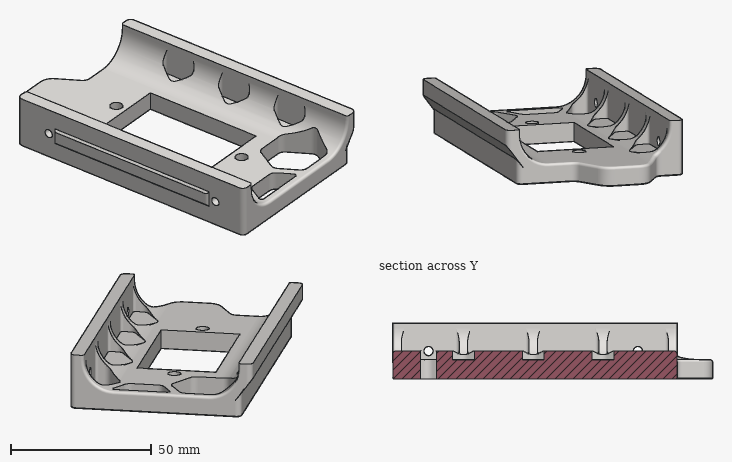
import cadquery as cq
import math

body_length = 101.3
body_height = 20.0
corner_radius = 2.0
bottom_chamfer = 0.3

cavity_width = 56.0
cavity_half_width = cavity_width / 2
wall_thickness = 5.0
wall_outer_y = cavity_half_width + wall_thickness
cove_radius = 11.0
floor_z = 7.0
rim_radius = 1.0

foot_y = 29.0
lean_top_z = 14.4
lean_drop = 8.2
lean_run = 6.2

overall_length = 114.0
tab_length = overall_length - body_length
tab_center_y = -7.9
tab_tip_half_width = 8.0
tab_flank_angle = 30
tab_tip_radius = 6.0
tab_root_radius = 3.02

window_length = 47.3
window_width = 28.5
window_center_x = 47.2
screw_diameter = 4.7
screw_spacing = 56.1

hex_flats = 21.9
hex_gap = 3.0
hex_pitch = hex_flats + hex_gap
hex_row_step = hex_pitch * math.sqrt(3) / 2
hex_first_x = 14.0
hex_first_y = -29.4
hex_radius = 3.0
hex_right_border = 3.1
clipped_corner_radius = 1.0
hex_columns = 3

strip_length = 69.0
strip_width = 6.2
strip_height = 0.8
strip_bevel = 0.8
strip_end_inset = 1.1
pin_diameter = 3.2
pin_spacing = hex_columns * hex_pitch
side_center_x = hex_first_x + pin_spacing / 2
side_center_z = body_height / 2


def round_edges(solid, points, radius):
    """Fillet the upright edge nearest to each (x, y) point."""
    for x, y in points:
        nearest = cq.selectors.NearestToPointSelector((x, y, body_height / 2))
        solid = solid.edges("|Z").edges(nearest).fillet(radius)
    return solid


def base_block():
    """Full-height block on the plan outline, tab included."""
    tab_root_half_width = tab_tip_half_width + tab_length * math.tan(math.radians(tab_flank_angle))
    tip_low = (-tab_length, tab_center_y - tab_tip_half_width)
    tip_high = (-tab_length, tab_center_y + tab_tip_half_width)
    root_low = (0, tab_center_y - tab_root_half_width)
    root_high = (0, tab_center_y + tab_root_half_width)
    block = (
        cq.Workplane("XY")
        .moveTo(0, -wall_outer_y)
        .lineTo(*root_low)
        .lineTo(*tip_low)
        .lineTo(*tip_high)
        .lineTo(*root_high)
        .lineTo(0, foot_y)
        .lineTo(body_length, foot_y)
        .lineTo(body_length, -wall_outer_y)
        .close()
        .extrude(body_height)
    )

    corners = [(x, y) for x in (0, body_length) for y in (-wall_outer_y, foot_y)]
    block = round_edges(block, corners, corner_radius)
    block = round_edges(block, [root_low, root_high], tab_root_radius)
    block = round_edges(block, [tip_low, tip_high], tab_tip_radius)
    return block.faces("<Z").edges().chamfer(bottom_chamfer)


def leaning_wall():
    """Upper part of the +Y wall, overhanging the foot."""
    inner_y = wall_outer_y - lean_run
    return (
        cq.Workplane("YZ")
        .moveTo(inner_y, lean_top_z - lean_drop)
        .lineTo(wall_outer_y, lean_top_z)
        .lineTo(wall_outer_y, body_height)
        .lineTo(inner_y, body_height)
        .close()
        .extrude(body_length)
        .faces(">Y")
        .edges("|Z")
        .fillet(corner_radius)
    )


def cavity():
    """Trough cutter, longer than the body at both ends."""
    flat_half_width = cavity_half_width - cove_radius
    cove_top_z = floor_z + cove_radius
    return (
        cq.Workplane("YZ")
        .moveTo(-cavity_half_width, body_height)
        .lineTo(-cavity_half_width, cove_top_z)
        .radiusArc((-flat_half_width, floor_z), -cove_radius)
        .lineTo(flat_half_width, floor_z)
        .radiusArc((cavity_half_width, cove_top_z), -cove_radius)
        .lineTo(cavity_half_width, body_height)
        .close()
        .extrude(2 * overall_length, both=True)
    )


def hex_cell(column, row, bottom_z):
    """Rounded hexagon cutter, kept inside the walls and off the right edge."""
    center_x = hex_first_x + (column + row % 2 / 2) * hex_pitch
    center_y = hex_first_y + row * hex_row_step
    corner_to_corner = hex_flats * 2 / math.sqrt(3)
    height = body_height - bottom_z
    right_x = body_length - hex_right_border
    cell = (
        cq.Workplane("XY", origin=(center_x, center_y, bottom_z))
        .transformed(rotate=(0, 0, 90))
        .polygon(6, corner_to_corner)
        .extrude(height)
    )
    bounds = cq.Workplane("XY", origin=(0, 0, bottom_z)).box(
        2 * right_x, cavity_width, height, centered=(True, True, False)
    )
    cell = cell.intersect(bounds)

    if center_y < -cavity_half_width:
        cut_side = "<Y"
    elif center_y > cavity_half_width:
        cut_side = ">Y"
    elif center_x > right_x:
        cut_side = ">X"
    else:
        return cell.edges("|Z").fillet(hex_radius)
    cell = cell.edges("|Z").edges(f"not {cut_side}").fillet(hex_radius)
    return cell.edges("|Z").edges(cut_side).fillet(clipped_corner_radius)


def round_rim(body):
    """Round the rim where the cavity runs out at both ends and along the tab."""
    margin = 0.06
    cavity_zone = cq.selectors.BoxSelector(
        (-tab_length - margin, -cavity_half_width - margin, floor_z - margin),
        (body_length + margin, cavity_half_width + margin, body_height - margin),
    )
    return body.edges(cavity_zone).edges("not |X").fillet(rim_radius)


def cut_floor_openings(body):
    """Window, and one screw hole on either side of it."""
    window = cq.Workplane("XY", origin=(window_center_x, 0, 0)).box(
        window_length, window_width, 2 * body_height
    )
    screw_holes = (
        cq.Workplane("XY", origin=(window_center_x, 0, 0))
        .pushPoints([(-screw_spacing / 2, 0), (screw_spacing / 2, 0)])
        .circle(screw_diameter / 2)
        .extrude(body_height)
    )
    return body.cut(window).cut(screw_holes)


def cut_honeycomb(body):
    """Pockets down to floor level in both coves, through openings at the right end."""
    for row in (0, 3):
        for column in range(hex_columns):
            body = body.cut(hex_cell(column, row, floor_z))
    for row in range(3):
        body = body.cut(hex_cell(hex_columns, row, 0))
    return body


def label_strip():
    """Raised strip with bevelled long sides and rounded ends."""
    end_radius = (strip_end_inset**2 + strip_height**2) / (2 * strip_height)
    outer_y = -wall_outer_y - strip_height
    half_length = strip_length / 2
    half_front = half_length - strip_end_inset
    half_width = strip_width / 2
    plan = (
        cq.Workplane("XY", origin=(side_center_x, 0, side_center_z))
        .moveTo(-half_length, -wall_outer_y)
        .radiusArc((-half_front, outer_y), -end_radius)
        .lineTo(half_front, outer_y)
        .radiusArc((half_length, -wall_outer_y), -end_radius)
        .close()
        .extrude(half_width, both=True)
    )
    section = (
        cq.Workplane("YZ", origin=(side_center_x, 0, side_center_z))
        .moveTo(-wall_outer_y, -half_width)
        .lineTo(outer_y, strip_bevel - half_width)
        .lineTo(outer_y, half_width - strip_bevel)
        .lineTo(-wall_outer_y, half_width)
        .close()
        .extrude(half_length, both=True)
    )
    return plan.intersect(section)


def pin_holes():
    """Cutters through the -Y wall into the first and last lower cells."""
    return (
        cq.Workplane("XZ", origin=(side_center_x, -cavity_half_width, side_center_z))
        .pushPoints([(-pin_spacing / 2, 0), (pin_spacing / 2, 0)])
        .circle(pin_diameter / 2)
        .extrude(wall_thickness)
    )


tray = base_block().union(leaning_wall()).cut(cavity())
tray = cut_honeycomb(cut_floor_openings(round_rim(tray)))
result = tray.union(label_strip()).cut(pin_holes())